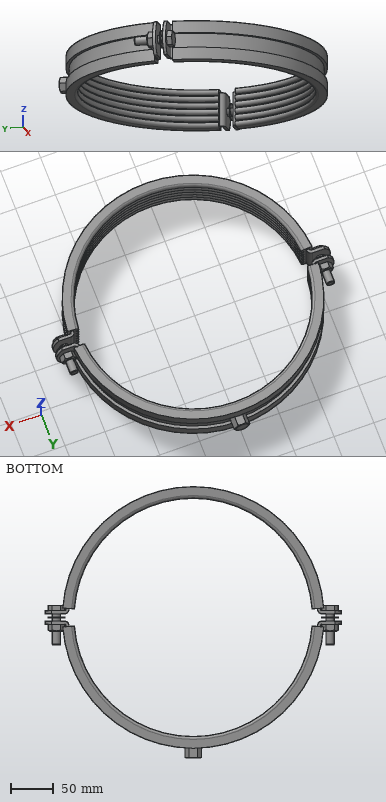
import cadquery as cq
import math


ring_radius = 153.7
ring_height = 47.0
lip_thickness = 3.8
band_thickness = 3.8
band_height = 40.7
liner_thickness = 2.8
groove_height = 18.0
bead_count = 6
bead_radius = 3.5
split_half_angle = 4.1

ear_tip_x = 174.0
ear_gap = 8.5
ear_tip_sagitta = 7.3
bend_inner_radius = 2.0

bolt_x = 160.7
bolt_diameter = 10.0
bolt_tip_diameter = 9.0
bolt_tip_length = 1.0
bolt_tip_y = 32.5
hex_flats = 17.0
head_height = 6.3
head_face_diameter = 16.7
head_chamfer = 0.5
nut_height = 8.5
nut_face_diameter = 15.3
nut_chamfer = 1.7
boss_top_y = 165.2
boss_face_diameter = 15.3
boss_chamfer = 1.0
washer_diameter = 20.0
washer_thickness = 1.0

band_outer_radius = ring_radius - lip_thickness
band_inner_radius = band_outer_radius - band_thickness
bead_center_radius = band_inner_radius - liner_thickness
ear_inner_y = ear_gap / 2
ear_outer_y = ear_inner_y + band_thickness
hex_corners = hex_flats / math.cos(math.radians(30))


def tube(outer_radius, inner_radius, height):
    return cq.Workplane("XY").circle(outer_radius).circle(inner_radius).extrude(height / 2, both=True)


def full_ring():
    """Outer lips, band layer and inner liner with rounded beads along the bore."""
    lips = tube(ring_radius, band_outer_radius, ring_height)
    lips = lips.cut(tube(ring_radius, band_outer_radius, groove_height))
    ring = tube(band_outer_radius, band_inner_radius, ring_height).union(lips)
    ring = ring.union(tube(band_inner_radius, bead_center_radius, ring_height))
    bead_pitch = (ring_height - 2 * bead_radius) / (bead_count - 1)
    for i in range(bead_count):
        bead_z = (i - (bead_count - 1) / 2) * bead_pitch
        bead = (
            cq.Workplane("XZ")
            .moveTo(bead_center_radius, bead_z - bead_radius)
            .threePointArc((bead_center_radius - bead_radius, bead_z), (bead_center_radius, bead_z + bead_radius))
            .close()
            .revolve(360, (0, 0, 0), (0, 1, 0))
        )
        ring = ring.union(bead)
    return ring


def split_gap():
    """Pair of wedges with radial faces that part the ring at -X and +X."""
    reach = ring_radius + 3.5
    half_width = reach * math.tan(math.radians(split_half_angle))
    wedge = (
        cq.Workplane("XY")
        .polyline([(0, 0), (reach, -half_width), (reach, half_width)])
        .close()
        .extrude(ring_height, both=True)
    )
    return wedge.union(wedge.mirror("YZ"))


def ear():
    """Band end bent outwards, on the +X +Y side."""
    split_angle = math.radians(split_half_angle)
    root_y = band_outer_radius * math.sin(split_angle)
    root_inner_x = band_inner_radius * math.cos(split_angle)
    root_outer_x = root_inner_x + band_thickness
    bend_outer_radius = bend_inner_radius + band_thickness
    bend_x = root_outer_x + bend_inner_radius
    bend_y = ear_outer_y + bend_inner_radius
    diagonal = math.sqrt(0.5)
    strip = (
        cq.Workplane("XY")
        .moveTo(root_outer_x, root_y)
        .lineTo(root_outer_x, bend_y)
        .threePointArc(
            (bend_x - bend_inner_radius * diagonal, bend_y - bend_inner_radius * diagonal),
            (bend_x, ear_outer_y),
        )
        .lineTo(ear_tip_x, ear_outer_y)
        .lineTo(ear_tip_x, ear_inner_y)
        .lineTo(bend_x, ear_inner_y)
        .threePointArc(
            (bend_x - bend_outer_radius * diagonal, bend_y - bend_outer_radius * diagonal),
            (root_inner_x, bend_y),
        )
        .lineTo(root_inner_x, root_y)
        .close()
        .extrude(band_height / 2, both=True)
    )
    half_height = band_height / 2
    shoulder_x = ear_tip_x - ear_tip_sagitta
    rounded_end = (
        cq.Workplane("XZ")
        .moveTo(0, -half_height)
        .lineTo(shoulder_x, -half_height)
        .threePointArc((ear_tip_x, 0), (shoulder_x, half_height))
        .lineTo(0, half_height)
        .close()
        .extrude(ring_radius, both=True)
    )
    return strip.intersect(rounded_end)


def y_cylinder(diameter, start_y, length):
    return cq.Workplane("XZ", origin=(0, start_y, 0)).circle(diameter / 2).extrude(-length)


def hex_block(start_y, end_y, face_diameter, chamfer):
    """Hexagon along Y with corners on X; a cone trims its corners at end_y."""
    length = end_y - start_y
    block = cq.Workplane("XZ", origin=(0, start_y, 0)).polygon(6, hex_corners).extrude(-length)
    chamfer_y = end_y - math.copysign(chamfer, length)
    envelope = (
        cq.Workplane("XY")
        .polyline([
            (0, start_y),
            (hex_corners / 2, start_y),
            (hex_corners / 2, chamfer_y),
            (face_diameter / 2, end_y),
            (0, end_y),
        ])
        .close()
        .revolve(360, (0, 0, 0), (0, 1, 0))
    )
    return block.intersect(envelope)


def bolt_set():
    """Bolt with head, nut and a thin washer halfway between the ears."""
    shank = y_cylinder(bolt_diameter, -ear_outer_y, bolt_tip_y + ear_outer_y)
    shank = shank.faces(">Y").chamfer(bolt_tip_length, (bolt_diameter - bolt_tip_diameter) / 2)
    head = hex_block(-ear_outer_y, -ear_outer_y - head_height, head_face_diameter, head_chamfer)
    nut = hex_block(ear_outer_y, ear_outer_y + nut_height, nut_face_diameter, nut_chamfer)
    washer = y_cylinder(washer_diameter, -washer_thickness / 2, washer_thickness)
    return shank.union(head).union(nut).union(washer)


result = full_ring().cut(split_gap())

upper_ear = ear()
right_ears = upper_ear.union(upper_ear.mirror("XZ"))
result = result.union(right_ears).union(right_ears.mirror("YZ"))

bolt = bolt_set()
for side in (-1, 1):
    result = result.union(bolt.translate((side * bolt_x, 0, 0)))

boss_seat_y = band_outer_radius - band_thickness / 2
result = result.union(hex_block(boss_seat_y, boss_top_y, boss_face_diameter, boss_chamfer))